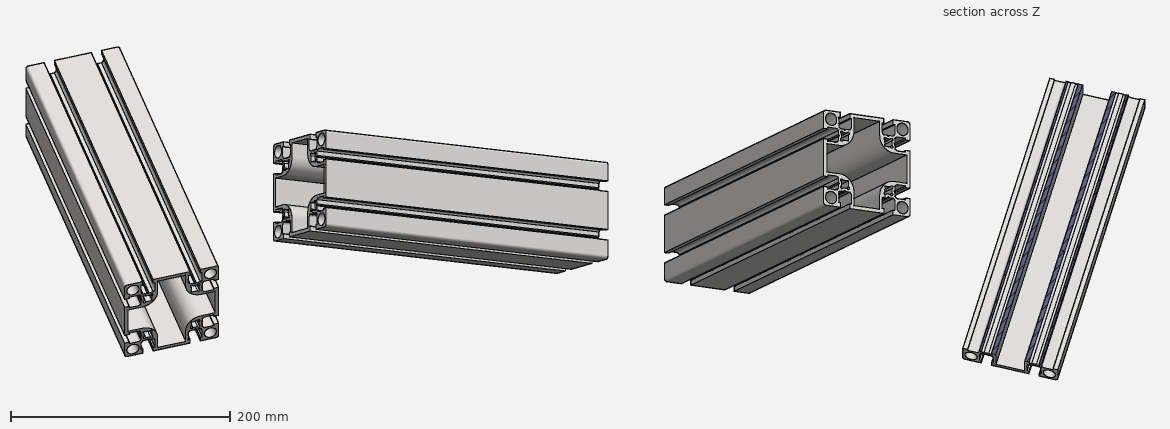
import cadquery as cq

length = 304.8
side = 90.0
half_side = side / 2
corner_radius = 2.7

slot_offset = 22.5
slot_opening = 9.8
slot_width = 13.0
slot_depth = 15.5
lip_thickness = 4.5
slot_corner_radius = 2.7

mark_width = 1.8
mark_depth = 1.0

wall = 3.5
cavity_half_width = 13.5
cavity_arc_radius = 15.0

bore_diameter = 11.5
bore_inset = 8.0

core_size = 7.3
relief_radius = 1.2
relief_offset = 3.5


def section():
    """Sketch plane across the profile at its -X end, with local axes Y and Z."""
    return cq.Workplane("YZ", origin=(-length / 2, 0, 0))


def make_bar():
    return section().rect(side, side).extrude(length).edges("|X").fillet(corner_radius)


def make_slot():
    """One T-slot in the +Z side, with a V mark in its floor."""
    floor = half_side - slot_depth
    inner_height = slot_depth - lip_thickness
    chamber = (
        section()
        .center(slot_offset, floor + inner_height / 2)
        .rect(slot_width, inner_height)
        .extrude(length)
        .edges("|X and <Z")
        .fillet(slot_corner_radius)
    )
    mouth = (
        section()
        .center(slot_offset, half_side - slot_depth / 2)
        .rect(slot_opening, slot_depth)
        .extrude(length)
    )
    mark = (
        section()
        .center(slot_offset, floor)
        .polyline([(-mark_width / 2, 0), (0, -mark_depth), (mark_width / 2, 0)])
        .close()
        .extrude(length)
    )
    return chamber.union(mouth).union(mark)


def make_cavity():
    """Cross-shaped void whose four inner corners are rounded away by the webs."""
    reach = 2 * (half_side - wall)
    across = 2 * cavity_half_width
    cross = section().rect(reach, across).extrude(length)
    cross = cross.union(section().rect(across, reach).extrude(length))
    inner_corners = cq.selectors.BoxSelector((-length, -across, -across), (length, across, across))
    return cross.edges("|X").edges(inner_corners).fillet(cavity_arc_radius)


def make_bore():
    bore_offset = half_side - bore_inset
    return section().center(bore_offset, bore_offset).circle(bore_diameter / 2).extrude(length)


def make_core():
    """Square core; every corner but the one facing the bar axis has a round relief."""
    core_plane = section().center(slot_offset, slot_offset)
    core = core_plane.rect(core_size, core_size).extrude(length)
    reliefs = (
        core_plane
        .pushPoints([
            (relief_offset, relief_offset),
            (-relief_offset, relief_offset),
            (relief_offset, -relief_offset),
        ])
        .circle(relief_radius)
        .extrude(length)
    )
    return core.union(reliefs)


corner_cutters = [make_slot(), make_slot().mirror("XZ"), make_bore(), make_core()]

result = make_bar().cut(make_cavity())
for quarter_turn in range(4):
    for cutter in corner_cutters:
        result = result.cut(cutter.rotate((0, 0, 0), (1, 0, 0), 90 * quarter_turn))